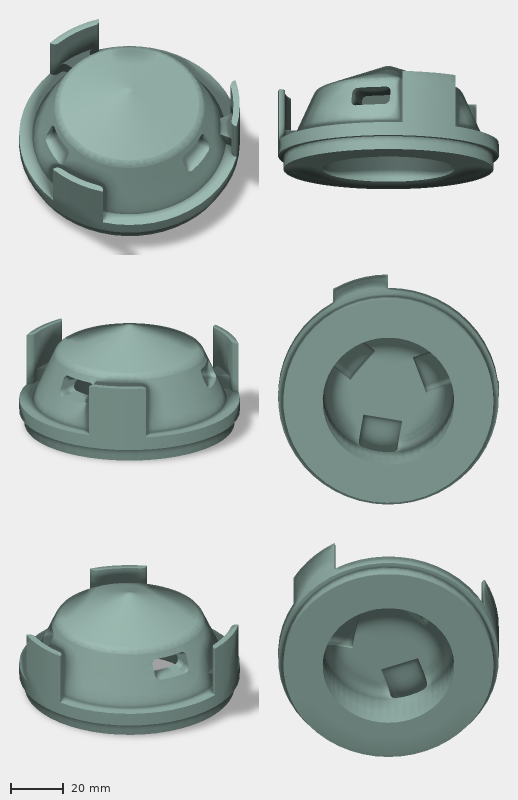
import cadquery as cq
import math

total_height = 40.0
base_radius = 40.0
base_height = 5.0
flange_radius = 42.0
flange_height = 5.0
flange_top = base_height + flange_height
flange_middle = base_height + flange_height / 2

dome_foot_radius = 36.95
shoulder_height = 30.0
shoulder_round = 3.8
roof_angle = math.radians(20.2)
tip_round = 4.2

cavity_radius = 25.0
cavity_height = 22.3
cavity_round = 4.0

window_width = 14.95
window_bottom = 18.8
window_height = 7.4
window_round = 2.0
window_back_radius = 12.6
window_angles = (30, 150, 270)

tab_angles = (65, 185, 305)
tab_half_angle = 15.0
tab_inner_radius = 39.6
tab_top = shoulder_height

web_top = 15.1
web_foot_half_width = 4.8
web_taper = math.radians(22)
web_round = 2.0
web_inner_radius = 31.9
web_root_radius = (tab_inner_radius + flange_radius) / 2

cutter_radius = flange_radius + 8.4
select_margin = 0.1


def polar(radius, degrees):
    angle = math.radians(degrees)
    return (radius * math.cos(angle), radius * math.sin(angle))


def mirrored(point):
    return (point[0], -point[1])


def make_dome():
    """Revolved dome on a straight foot that reaches down to the base plane."""
    tip_center = total_height - tip_round
    tip_edge_radius = tip_round * math.sin(roof_angle)
    tip_edge_height = tip_center + tip_round * math.cos(roof_angle)
    tip_middle = (
        tip_round * math.sin(roof_angle / 2),
        tip_center + tip_round * math.cos(roof_angle / 2),
    )
    shoulder_radius = tip_edge_radius + (tip_edge_height - shoulder_height) / math.tan(roof_angle)
    dome = (
        cq.Workplane("XZ")
        .lineTo(dome_foot_radius, 0)
        .lineTo(dome_foot_radius, flange_top)
        .lineTo(shoulder_radius, shoulder_height)
        .lineTo(tip_edge_radius, tip_edge_height)
        .threePointArc(tip_middle, (0, total_height))
        .close()
        .revolve(360, (0, 0, 0), (0, 1, 0))
    )
    shoulder_zone = cq.selectors.BoxSelector(
        (-flange_radius, -flange_radius, shoulder_height - select_margin),
        (flange_radius, flange_radius, shoulder_height + select_margin),
    )
    return dome.edges("%CIRCLE").edges(shoulder_zone).fillet(shoulder_round)


def make_cavity():
    """Round recess open at the bottom, with a filleted ceiling edge."""
    cavity = cq.Workplane("XY").circle(cavity_radius).extrude(cavity_height)
    return cavity.faces(">Z").edges().fillet(cavity_round)


def make_window(angle):
    """Rounded rectangular cutter with a flat inner end, running radially outward."""
    depth = flange_radius - window_back_radius
    return (
        cq.Workplane("XY")
        .box(depth, window_width, window_height, centered=(False, True, False))
        .edges("|X")
        .fillet(window_round)
        .translate((window_back_radius, 0, window_bottom))
        .rotate((0, 0, 0), (0, 0, 1), angle)
    )


def make_tab_blank(angle):
    """Prism over one tab: quarter-round ends inside the rim, straight radial sides beyond it."""
    thickness = flange_radius - tab_inner_radius
    round_angle = 2 * math.degrees(math.asin(thickness / (2 * flange_radius)))
    center_angle = tab_half_angle - round_angle
    center_x, center_y = polar(flange_radius, center_angle)
    offset_x, offset_y = polar(thickness, center_angle + (90 + 180) / 2)
    round_middle = (center_x + offset_x, center_y + offset_y)
    rim_end = polar(flange_radius, tab_half_angle)
    inner_end = polar(tab_inner_radius, center_angle)
    far_end = polar(cutter_radius, tab_half_angle)
    return (
        cq.Workplane("XY")
        .moveTo(*mirrored(far_end))
        .lineTo(*far_end)
        .lineTo(*rim_end)
        .threePointArc(round_middle, inner_end)
        .threePointArc((tab_inner_radius, 0), mirrored(inner_end))
        .threePointArc(mirrored(round_middle), mirrored(rim_end))
        .close()
        .extrude(flange_top + tab_top)
        .rotate((0, 0, 0), (0, 0, 1), angle)
    )


def make_flange_with_tabs():
    """One cylinder, cut down to the flange everywhere except at the tabs."""
    surplus = cq.Workplane("XY").workplane(offset=flange_top).circle(cutter_radius).extrude(tab_top)
    for tab_angle in tab_angles:
        surplus = surplus.cut(make_tab_blank(tab_angle))
    blank = cq.Workplane("XY").workplane(offset=base_height).circle(flange_radius)
    return blank.extrude(tab_top - base_height).cut(surplus)


def make_web(angle):
    """Low block that narrows toward the dome and flares into the tab through concave rounds."""
    normal_x = -math.sin(web_taper)
    normal_y = math.cos(web_taper)

    center_radius = tab_inner_radius - web_round
    center_distance = dome_foot_radius * normal_x + web_foot_half_width * normal_y + web_round
    side_normal_angle = math.pi / 2 + web_taper
    center_angle = side_normal_angle - math.acos(center_distance / center_radius)
    center_x = center_radius * math.cos(center_angle)
    center_y = center_radius * math.sin(center_angle)

    def round_point(direction):
        return (center_x + web_round * math.cos(direction), center_y + web_round * math.sin(direction))

    side_direction = side_normal_angle - math.pi
    side_end = round_point(side_direction)
    round_middle = round_point((side_direction + center_angle) / 2)
    tab_end = round_point(center_angle)
    root = polar(web_root_radius, math.degrees(center_angle))
    inner_half_width = web_foot_half_width - (dome_foot_radius - web_inner_radius) * math.tan(web_taper)

    return (
        cq.Workplane("XY")
        .workplane(offset=flange_middle)
        .moveTo(web_inner_radius, -inner_half_width)
        .lineTo(*mirrored(side_end))
        .threePointArc(mirrored(round_middle), mirrored(tab_end))
        .lineTo(*mirrored(root))
        .threePointArc((web_root_radius, 0), root)
        .lineTo(*tab_end)
        .threePointArc(round_middle, side_end)
        .lineTo(web_inner_radius, inner_half_width)
        .close()
        .extrude(web_top - flange_middle)
        .rotate((0, 0, 0), (0, 0, 1), angle)
    )


base_ring = cq.Workplane("XY").circle(base_radius).extrude(flange_middle)
result = make_flange_with_tabs().union(base_ring).union(make_dome())
for tab_angle in tab_angles:
    result = result.union(make_web(tab_angle))
result = result.cut(make_cavity())
for window_angle in window_angles:
    result = result.cut(make_window(window_angle))